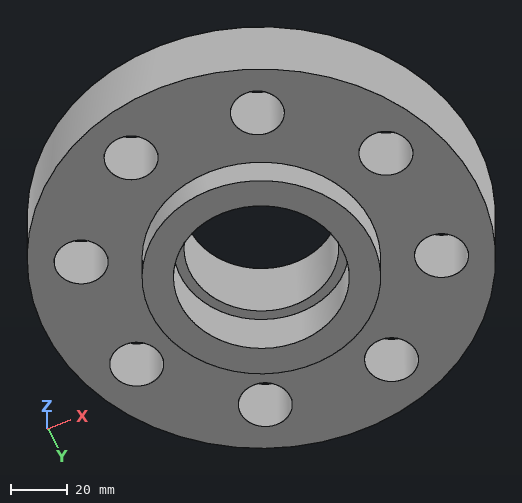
import cadquery as cq

flange_diameter = 165.1
flange_thickness = 25.5

hub_diameter = 84.0
raised_face_height = 6.5
total_height = 43.0
hub_height = total_height - flange_thickness - raised_face_height

bore_diameter = 54.5
socket_diameter = 61.9
socket_depth = 17.3

bolt_hole_count = 8
bolt_hole_diameter = 19.0
bolt_circle_diameter = 127.0
bolt_pitch_angle = 360 / bolt_hole_count


def cylinder(diameter, bottom, height):
    """Upright cylinder on the Z axis, starting at the given level."""
    return cq.Workplane("XY").workplane(offset=bottom).circle(diameter / 2).extrude(height)


def bolt_holes():
    """Ring of cutters through the flange disc."""
    return (
        cq.Workplane("XY")
        .workplane(offset=hub_height)
        .polarArray(bolt_circle_diameter / 2, bolt_pitch_angle / 2, 360, bolt_hole_count)
        .circle(bolt_hole_diameter / 2)
        .extrude(flange_thickness)
    )


hub = cylinder(hub_diameter, 0, total_height)
flange = cylinder(flange_diameter, hub_height, flange_thickness)
bore = cylinder(bore_diameter, 0, total_height)
socket = cylinder(socket_diameter, 0, socket_depth)

result = hub.union(flange).cut(bore).cut(socket).cut(bolt_holes())